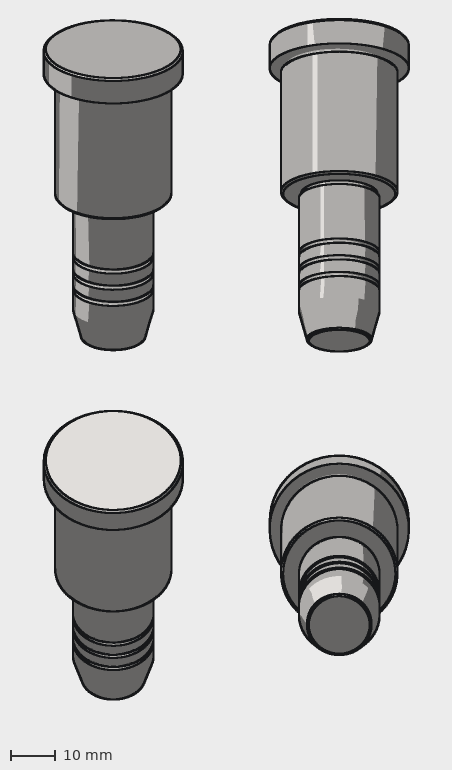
import cadquery as cq
import math

total_length = 71.0
head_diameter = 31.0
head_height = 6.0
sleeve_diameter = 26.0
sleeve_bottom_z = 35.0
stem_diameter = 18.0

edge_chamfer = 0.5
tip_chamfer = 0.35
undercut_depth = 0.5
undercut_height = 1.1
groove_radius = 0.5
groove_count = 3
groove_pitch = 4.0
top_groove_z = 20.45

tip_height = 7.0
taper_angle = 15.0

head_radius = head_diameter / 2
sleeve_radius = sleeve_diameter / 2
stem_radius = stem_diameter / 2
head_bottom_z = total_length - head_height
tip_radius = stem_radius - tip_height * math.tan(math.radians(taper_angle))


def cylinder(radius, bottom_z, top_z):
    """Solid cylinder on the Z axis between two heights."""
    return cq.Workplane("XY").workplane(offset=bottom_z).circle(radius).extrude(top_z - bottom_z)


def round_groove(shaft_radius, center_z):
    """Ring with a round section, centred on the shaft surface."""
    return (
        cq.Workplane("XZ")
        .center(shaft_radius, center_z)
        .circle(groove_radius)
        .revolve(360, (-shaft_radius, 0), (-shaft_radius, 1))
    )


def tapered_tip():
    """Cone frustum below the stem with a chamfered end."""
    frustum = (
        cq.Workplane("XY")
        .circle(tip_radius)
        .workplane(offset=tip_height)
        .circle(stem_radius)
        .loft()
    )
    return frustum.faces("<Z").edges().chamfer(tip_chamfer)


head = cylinder(head_radius, head_bottom_z, total_length).faces(">Z").edges().chamfer(edge_chamfer)

sleeve = cylinder(sleeve_radius, sleeve_bottom_z, head_bottom_z).faces("<Z").edges().chamfer(edge_chamfer)
sleeve = sleeve.cut(round_groove(sleeve_radius, head_bottom_z - groove_radius))

undercut_bottom_z = sleeve_bottom_z - undercut_height
stem = cylinder(stem_radius, tip_height, undercut_bottom_z)
neck = cylinder(stem_radius - undercut_depth, undercut_bottom_z, sleeve_bottom_z)
for index in range(groove_count):
    stem = stem.cut(round_groove(stem_radius, top_groove_z - index * groove_pitch))

result = head.union(sleeve).union(neck).union(stem).union(tapered_tip())